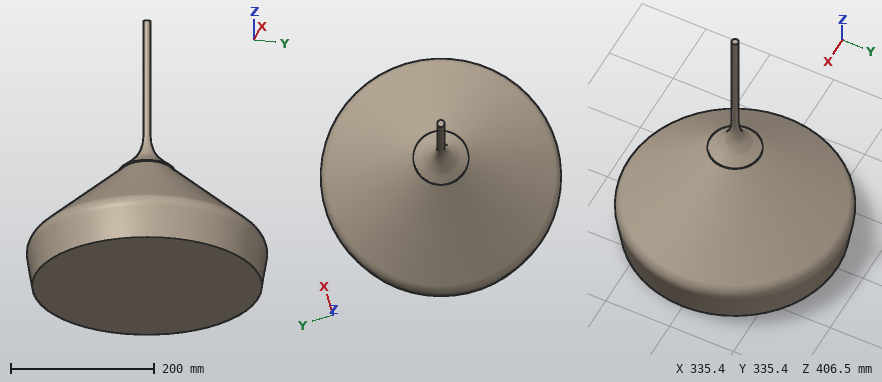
import cadquery as cq
import math

total_height = 406.5

rim_radius = 160.0
shade_radius = 167.5
rim_height = 46.5
shoulder_radius = 160.0
shoulder_height = 65.5

cap_radius = 77.2 / 2
cap_base_height = 174.5
cap_edge = 1.5
neck_base_radius = 25.0
neck_base_height = 187.0
neck_top_height = 232.0

cord_radius = 10.0 / 2

cap_overhang = 1.2
cone_top_radius = cap_radius - cap_overhang

rim_direction = (shade_radius - rim_radius, rim_height)
cone_direction = (cone_top_radius - shoulder_radius, cap_base_height - shoulder_height)
cap_direction = (neck_base_radius - cap_radius, neck_base_height - cap_base_height - cap_edge)
upward = (0, 1)


def unit(direction):
    length = math.hypot(*direction)
    return (direction[0] / length, direction[1] / length)


profile = (
    cq.Workplane("XZ")
    .lineTo(rim_radius, 0)
    .lineTo(shade_radius, rim_height)
    .spline(
        [(shoulder_radius, shoulder_height)],
        tangents=[unit(rim_direction), unit(cone_direction)],
        includeCurrent=True,
    )
    .lineTo(cone_top_radius, cap_base_height)
    .lineTo(cap_radius, cap_base_height)
    .lineTo(cap_radius, cap_base_height + cap_edge)
    .lineTo(neck_base_radius, neck_base_height)
    .spline(
        [(cord_radius, neck_top_height)],
        tangents=[unit(cap_direction), upward],
        includeCurrent=True,
    )
    .lineTo(cord_radius, total_height)
    .lineTo(0, total_height)
    .close()
)

result = profile.revolve(360, (0, 0, 0), (0, 1, 0))